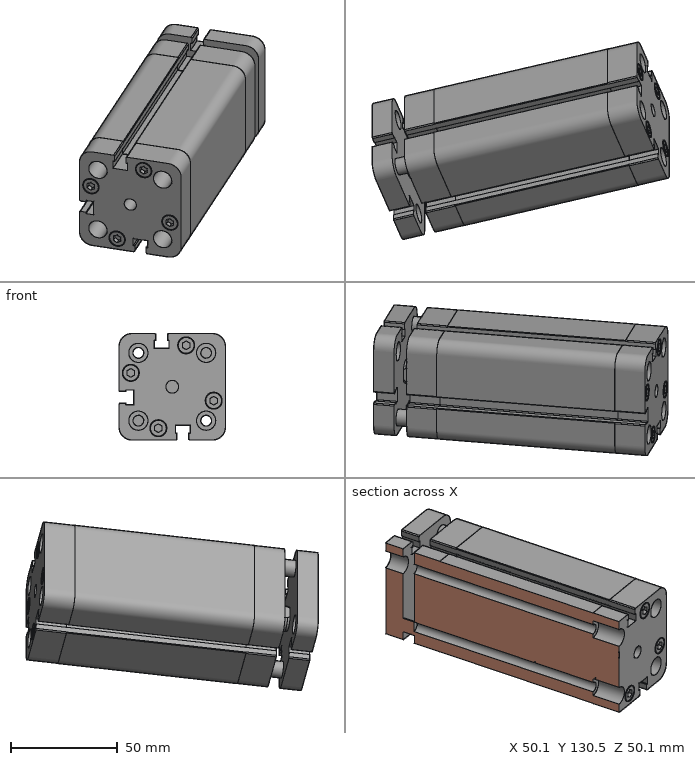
import cadquery as cq
import math

LENGTH = 130.5
WIDTH = 50.1
TUBE_WIDTH = 50.0
HALF_WIDTH = WIDTH / 2
PLATE_THICKNESS = 9.9
GAP = 6.0
CAP_LENGTH = 14.5
BODY_LENGTH = LENGTH - PLATE_THICKNESS - GAP
TUBE_LENGTH = BODY_LENGTH - 2 * CAP_LENGTH
PLATE_START = BODY_LENGTH + GAP

CAP_CORNER_RADIUS = 6.4
TUBE_CORNER_RADIUS = 6.0

SLOT_OFFSET = 5.0
SLOT_MOUTH = 5.5
CAP_SLOT_WIDTH = 7.0
TUBE_SLOT_WIDTH = 6.8
SLOT_LIP = 3.3
CAP_SLOT_DEPTH = 7.0
TUBE_SLOT_DEPTH = 6.8
CAP_SLOT_CHAMFER = 0.5
TUBE_SLOT_CHAMFER = 0.4
SLOT_TURNS = (0, 90, 180)

CORNER_HOLE_PLACE = 15.9
CORNER_HOLE_DIAMETER = 5.0
CORNER_BORE_DIAMETER = 9.0
CENTRE_HOLE_DIAMETER = 6.0
FRONT_BORE_DEPTH = CAP_LENGTH

SCREW_LONG_OFFSET = 19.5
SCREW_SHORT_OFFSET = 6.5
SCREW_HEAD_DIAMETER = 7.5
SCREW_BORE_DIAMETER = 8.0
SCREW_GROOVE_DEPTH = 0.3
HEX_ACROSS_FLATS = 3.5
HEX_DEPTH = 2.6

ROD_PLACE = 17.0
GUIDE_ROD_DIAMETER = 8.0
PLATE_HOLE_DIAMETER = 9.0

PISTON_ROD_DIAMETER = 12.0
PISTON_FLATS_WIDTH = 10.0
FLAT_RUNOUT_LENGTH = 1.6
PISTON_CHAMFER_RADIAL = 0.4
PISTON_CHAMFER_LENGTH = 1.2


def section(y):
    """Workplane at the given Y, with local X along X, local Y along Z and normal toward -Y."""
    return cq.Workplane("XZ", origin=(0, y, 0))


def slot_cutter(start, length, slot_width, slot_depth, chamfer):
    """T-slot open toward +Z, with its mouth edges chamfered."""
    mouth = SLOT_MOUTH / 2
    inner = slot_width / 2
    half = [
        (mouth + chamfer, HALF_WIDTH),
        (mouth, HALF_WIDTH - chamfer),
        (mouth, HALF_WIDTH - SLOT_LIP),
        (inner, HALF_WIDTH - SLOT_LIP),
        (inner, HALF_WIDTH - slot_depth),
    ]
    outline = half + [(-x, z) for x, z in reversed(half)]
    shifted = [(x - SLOT_OFFSET, z) for x, z in outline]
    return section(start).polyline(shifted).close().extrude(-length)


def profile_block(start, length, width, corner_radius, cutter):
    """Square bar with rounded corners, cut by the T-slot on three sides."""
    block = section(start).rect(width, width).extrude(-length).edges("|Y").fillet(corner_radius)
    for turn in SLOT_TURNS:
        block = block.cut(cutter.rotate((0, 0, 0), (0, 1, 0), -turn))
    return block


def cap_block(start, length):
    cutter = slot_cutter(start, length, CAP_SLOT_WIDTH, CAP_SLOT_DEPTH, CAP_SLOT_CHAMFER)
    return profile_block(start, length, WIDTH, CAP_CORNER_RADIUS, cutter)


def tube_block(start, length):
    cutter = slot_cutter(start, length, TUBE_SLOT_WIDTH, TUBE_SLOT_DEPTH, TUBE_SLOT_CHAMFER)
    return profile_block(start, length, TUBE_WIDTH, TUBE_CORNER_RADIUS, cutter)


def cylinders(points, diameter, start, length):
    return section(start).pushPoints(points).circle(diameter / 2).extrude(-length)


def piston_rod():
    """Rod across the gap, with side flats that run out at 45 degrees toward the body."""
    radius = PISTON_ROD_DIAMETER / 2
    chamfer_radius = radius - PISTON_CHAMFER_RADIAL
    flat = PISTON_FLATS_WIDTH / 2
    rod = (
        cq.Workplane("XY")
        .moveTo(0, BODY_LENGTH)
        .lineTo(radius, BODY_LENGTH)
        .lineTo(radius, PLATE_START - PISTON_CHAMFER_LENGTH)
        .lineTo(chamfer_radius, PLATE_START)
        .lineTo(0, PLATE_START)
        .close()
        .revolve(360, (0, 0, 0), (0, 1, 0))
    )
    runout_end = BODY_LENGTH + FLAT_RUNOUT_LENGTH
    half = [(flat + FLAT_RUNOUT_LENGTH, BODY_LENGTH), (flat, runout_end), (flat, PLATE_START)]
    outline = half + [(-x, y) for x, y in reversed(half)]
    envelope = cq.Workplane("XY").polyline(outline).close().extrude(radius, both=True)
    return rod.intersect(envelope)


def screw_marks():
    """Ring groove and hexagon socket of the four cap screws, each a quarter turn apart."""
    places = [
        (SCREW_SHORT_OFFSET, SCREW_LONG_OFFSET),
        (SCREW_LONG_OFFSET, -SCREW_SHORT_OFFSET),
        (-SCREW_SHORT_OFFSET, -SCREW_LONG_OFFSET),
        (-SCREW_LONG_OFFSET, SCREW_SHORT_OFFSET),
    ]
    across_corners = HEX_ACROSS_FLATS / math.cos(math.pi / 6)
    bores = cylinders(places, SCREW_BORE_DIAMETER, 0, SCREW_GROOVE_DEPTH)
    heads = cylinders(places, SCREW_HEAD_DIAMETER, 0, SCREW_GROOVE_DEPTH)
    hexagon = section(0).transformed(rotate=(0, 0, 90)).polygon(6, across_corners).extrude(-HEX_DEPTH)
    marks = bores.cut(heads)
    for x, z in places:
        marks = marks.union(hexagon.translate((x, 0, z)))
    return marks


def rising_diagonal(place):
    return [(-place, -place), (place, place)]


def falling_diagonal(place):
    return [(-place, place), (place, -place)]


corner_holes = rising_diagonal(CORNER_HOLE_PLACE) + falling_diagonal(CORNER_HOLE_PLACE)

body = cap_block(0, CAP_LENGTH)
body = body.union(tube_block(CAP_LENGTH, TUBE_LENGTH))
body = body.union(cap_block(CAP_LENGTH + TUBE_LENGTH, CAP_LENGTH))
body = body.cut(cylinders(corner_holes, CORNER_BORE_DIAMETER, 0, FRONT_BORE_DEPTH))
body = body.cut(cylinders(corner_holes, CORNER_HOLE_DIAMETER, 0, BODY_LENGTH))
body = body.cut(cylinders([(0, 0)], CENTRE_HOLE_DIAMETER, 0, FRONT_BORE_DEPTH))
body = body.cut(screw_marks())

plate_holes = falling_diagonal(CORNER_HOLE_PLACE)
plate = cap_block(PLATE_START, PLATE_THICKNESS)
plate = plate.cut(cylinders(plate_holes, PLATE_HOLE_DIAMETER, PLATE_START, PLATE_THICKNESS))

guide_rods = cylinders(rising_diagonal(ROD_PLACE), GUIDE_ROD_DIAMETER, BODY_LENGTH, GAP)
result = body.union(plate).union(guide_rods).union(piston_rod())